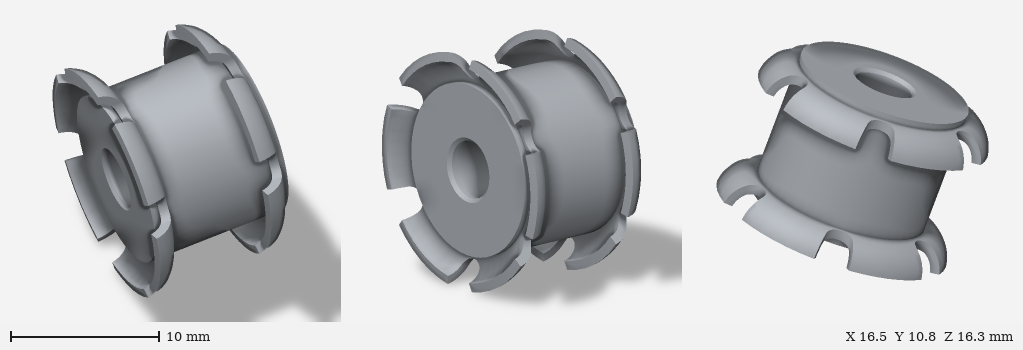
import math

import cadquery as cq

HUB_RADIUS = 6.0
HUB_LENGTH = 10.0
BORE_RADIUS = 2.0
BORE_CHAMFER = 0.25

FLANGE_THICKNESS = 0.65
CURL_OUTER_RADIUS = 2.28
CURL_INNER_RADIUS = CURL_OUTER_RADIUS - FLANGE_THICKNESS
CURL_ANGLE = 80.0
RIM_RADIUS = HUB_RADIUS + CURL_OUTER_RADIUS * math.sin(math.radians(CURL_ANGLE))
BACK_FLANGE_SETBACK = 0.5
FLANGE_PITCH = 8.34
BACK_FLANGE_Y = HUB_LENGTH - BACK_FLANGE_SETBACK
FRONT_FLANGE_Y = BACK_FLANGE_Y - FLANGE_PITCH

NOTCH_COUNT = 6
NOTCH_RADIUS = 1.0
NOTCH_BOTTOM = 6.3
NOTCH_HALF_ANGLE = 15.0
NOTCH_OUTER_REACH = RIM_RADIUS + 1.0


def make_hub():
    """Plain cylinder running from y = 0 to the back face."""
    return cq.Workplane("XZ").circle(HUB_RADIUS).extrude(-HUB_LENGTH)


def make_flange(back_y):
    """Disc whose edge curls forward, revolved about Y; back_y is its flat back."""
    curl = math.radians(CURL_ANGLE)
    curl_y = back_y - CURL_OUTER_RADIUS

    def on_curl(radius, angle):
        return (HUB_RADIUS + radius * math.sin(angle), curl_y + radius * math.cos(angle))

    return (
        cq.Workplane("XY")
        .moveTo(0, back_y)
        .lineTo(*on_curl(CURL_OUTER_RADIUS, 0))
        .threePointArc(on_curl(CURL_OUTER_RADIUS, curl / 2), on_curl(CURL_OUTER_RADIUS, curl))
        .lineTo(*on_curl(CURL_INNER_RADIUS, curl))
        .threePointArc(on_curl(CURL_INNER_RADIUS, curl / 2), on_curl(CURL_INNER_RADIUS, 0))
        .lineTo(0, back_y - FLANGE_THICKNESS)
        .close()
        .revolve(360, (0, 0, 0), (0, 1, 0))
    )


def make_notch(back_y):
    """Cutter for the +Z notch: a round bottom tangent to two flared sides."""
    half_angle = math.radians(NOTCH_HALF_ANGLE)
    tangent_x = NOTCH_RADIUS * math.cos(half_angle)
    tangent_z = NOTCH_BOTTOM + NOTCH_RADIUS * (1 - math.sin(half_angle))
    mouth_x = tangent_x + (NOTCH_OUTER_REACH - tangent_z) * math.tan(half_angle)
    return (
        cq.Workplane("XZ", origin=(0, back_y, 0))
        .moveTo(-mouth_x, NOTCH_OUTER_REACH)
        .lineTo(-tangent_x, tangent_z)
        .threePointArc((0, NOTCH_BOTTOM), (tangent_x, tangent_z))
        .lineTo(mouth_x, NOTCH_OUTER_REACH)
        .close()
        .extrude(CURL_OUTER_RADIUS)
    )


def make_petal_flange(back_y):
    """Curled flange with its ring of notches."""
    flange = make_flange(back_y)
    notch = make_notch(back_y)
    for index in range(NOTCH_COUNT):
        angle = index * 360 / NOTCH_COUNT
        flange = flange.cut(notch.rotate((0, 0, 0), (0, 1, 0), angle))
    return flange


def make_bore():
    """Cutter for the through bore, chamfered at both ends."""
    mouth_radius = BORE_RADIUS + BORE_CHAMFER
    return (
        cq.Workplane("XY")
        .polyline([
            (0, 0),
            (mouth_radius, 0),
            (BORE_RADIUS, BORE_CHAMFER),
            (BORE_RADIUS, HUB_LENGTH - BORE_CHAMFER),
            (mouth_radius, HUB_LENGTH),
            (0, HUB_LENGTH),
        ])
        .close()
        .revolve(360, (0, 0, 0), (0, 1, 0))
    )


result = make_hub()
for flange_y in (BACK_FLANGE_Y, FRONT_FLANGE_Y):
    result = result.union(make_petal_flange(flange_y))
result = result.cut(make_bore())